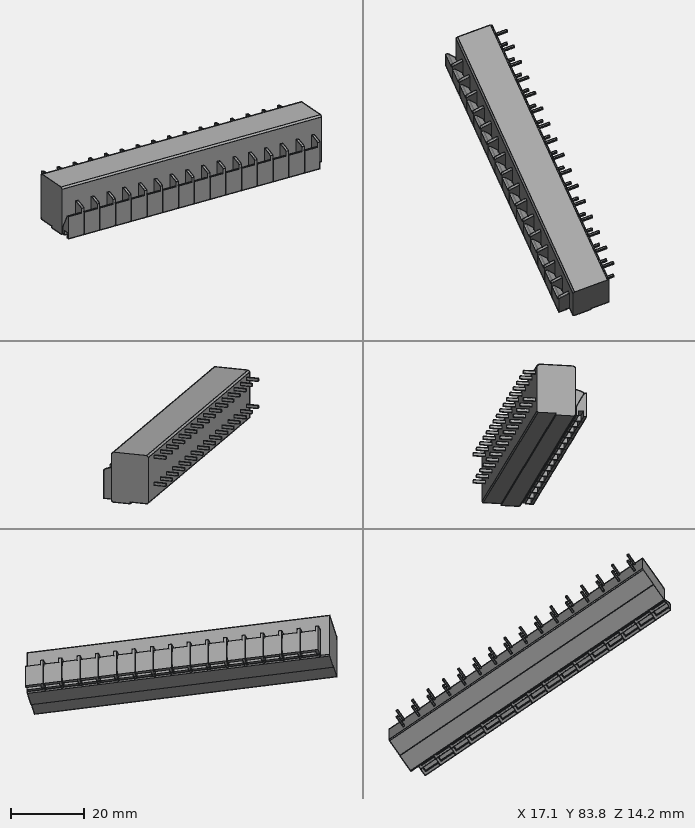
import cadquery as cq

length = 83.8
total_x = 17.1
height = 14.25
pin_reach = 3.35
housing_width = 10.65
top_chamfer = 0.5
lower_chamfer = 0.3
foot_step_x = 8.6
foot_height = 0.5

poles = 16
bare_end = 2.5
pitch = (length - bare_end) / poles
terminal_gap = 0.2

pin_thickness = 0.5
pin_height = 0.8
pin_tip_radius = 0.25
pin_row_heights = (4.9, 12.6)
pin_offset = 2.6

rib_thickness = 0.75
rib_top = 9.1
rib_ledge = 0.4
rib_nose_x = 16.5
rib_nose_z = 8.5
rib_outer_z = 8.1

lever_clearance = 0.25
lever_heel_z = 2.7
lever_crest_x = 16.4
lever_top = 6.7
lever_crest_radius = 0.3
inner_leg_lift = 0.25
slot_start_x = 14.9
slot_width = 1.3
slot_height = 1.6

back_x = pin_reach
front_x = pin_reach + housing_width
end_y = -length / 2


def along_y(points, start_y, depth):
    """Extrude an X-Z outline from start_y toward +Y."""
    return cq.Workplane("XZ", origin=(0, start_y, 0)).polyline(points).close().extrude(-depth)


def make_housing():
    outline = [
        (back_x, foot_height + lower_chamfer),
        (back_x + lower_chamfer, foot_height),
        (foot_step_x, foot_height),
        (foot_step_x, 0),
        (front_x - lower_chamfer, 0),
        (front_x, lower_chamfer),
        (front_x, height - top_chamfer),
        (front_x - top_chamfer, height),
        (back_x + top_chamfer, height),
        (back_x, height - top_chamfer),
    ]
    return along_y(outline, end_y, length)


def make_pin(y, z):
    pin_length = pin_reach + pin_thickness
    pin = cq.Workplane("XY").box(pin_length, pin_thickness, pin_height, centered=(False, True, True))
    return pin.faces("<X").edges("|Y").fillet(pin_tip_radius).translate((0, y, z))


def make_rib(start_y):
    outline = [
        (front_x - rib_ledge, inner_leg_lift),
        (slot_start_x, inner_leg_lift),
        (slot_start_x, 0),
        (total_x, 0),
        (total_x, rib_outer_z),
        (rib_nose_x, rib_nose_z),
        (front_x + rib_ledge, rib_top),
        (front_x - rib_ledge, rib_top),
    ]
    return along_y(outline, start_y, rib_thickness)


def make_lever(start_y, depth):
    heel_x = front_x + lever_clearance
    slot_end_x = slot_start_x + slot_width
    outline = [
        (heel_x, inner_leg_lift),
        (slot_start_x, inner_leg_lift),
        (slot_start_x, slot_height),
        (slot_end_x, slot_height),
        (slot_end_x, 0),
        (total_x, 0),
        (total_x, lever_top),
        (lever_crest_x, lever_top),
        (heel_x, lever_heel_z),
    ]
    crest = cq.selectors.NearestToPointSelector((lever_crest_x, start_y + depth / 2, lever_top))
    return along_y(outline, start_y, depth).edges(crest).fillet(lever_crest_radius)


result = make_housing()
for pole in range(poles):
    pole_y = end_y + pole * pitch
    rib_y = pole_y + pitch - rib_thickness
    lever_y = pole_y + terminal_gap
    result = result.union(make_rib(rib_y))
    result = result.union(make_lever(lever_y, rib_y - lever_y))
    for row_z in pin_row_heights:
        result = result.union(make_pin(pole_y + pin_offset, row_z))